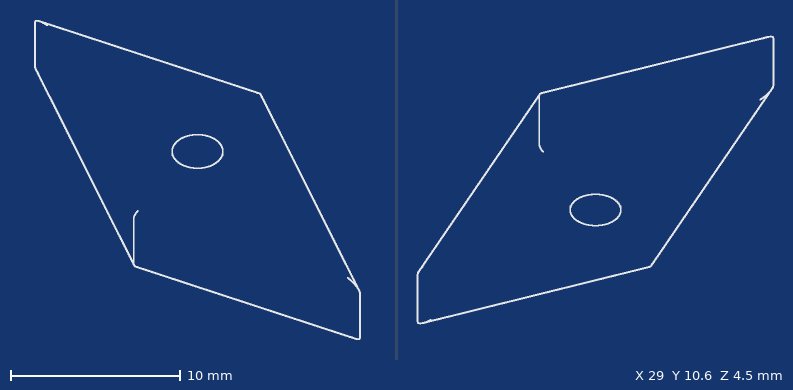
import cadquery as cq

overall_length = 29.0
width = 10.6
thickness = 4.5
straight_edge = 18.5
edge_radius = 0.5
hole_diameter = 3.0

half_length = overall_length / 2
half_width = width / 2


def make_blank():
    """Parallelogram plate centred on the origin."""
    corners = [
        (-half_length, -half_width),
        (straight_edge - half_length, -half_width),
        (half_length, half_width),
        (half_length - straight_edge, half_width),
    ]
    return cq.Workplane("XY").polyline(corners).close().extrude(thickness / 2, both=True)


def round_face_edges(plate):
    """Round every edge of the top and bottom faces."""
    return plate.faces("|Z").edges().fillet(edge_radius)


def drill_center_hole(plate):
    """Drill the plain hole through the middle of the plate."""
    return plate.faces(">Z").workplane(origin=(0, 0, 0)).hole(hole_diameter)


result = drill_center_hole(round_face_edges(make_blank()))